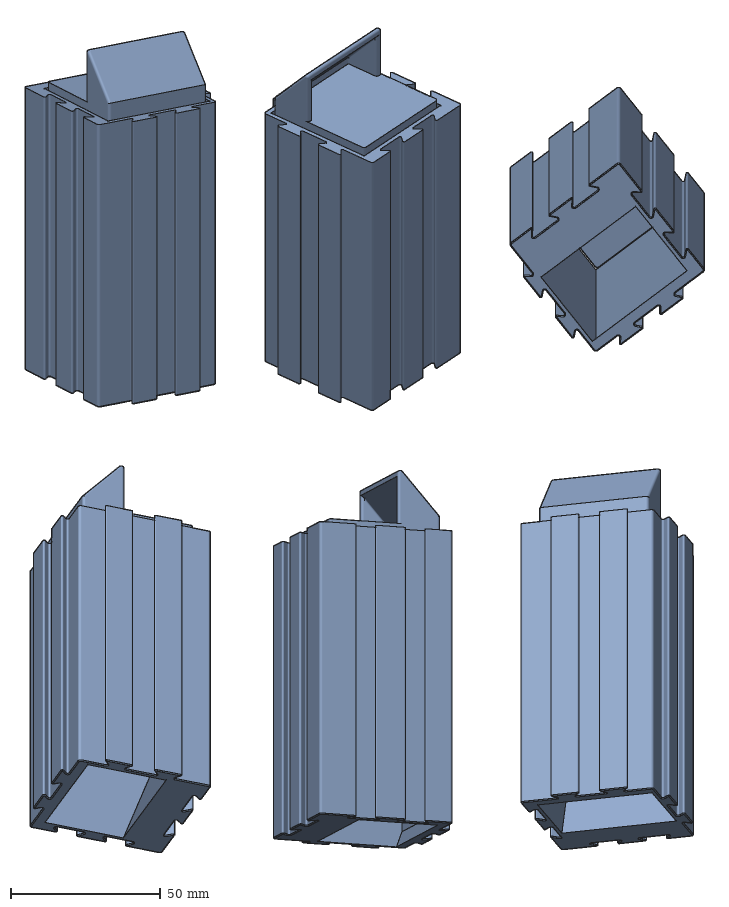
import cadquery as cq
import math


housing_height = 100.0
cavity_x = 40.7
cavity_y = 40.1
thick_wall = 5.0
thin_wall_x = 1.8
thin_wall_y = 1.6
corner_radius = 1.0
bottom_chamfer = 0.4

tab_height = 3.1
tab_tip_width = 10.9
socket_depth = 3.4
socket_inner_width = 11.7
dovetail_radius = 0.5
flank_angle = 41
dovetail_pitch_x = 17.6
dovetail_pitch_y = 17.0

wide_ramp_width = 10.6
narrow_ramp_width = 1.9
ramp_angle = 70

plate_x = 39.5
plate_y = 38.4
plate_bottom = 97.6
plate_top = 102.4
hood_length = 15.0
hood_top = 120.8
hood_back_height = 3.5
hood_wall = 2.4
hood_radius = 1.0
pocket_radius = 0.5

face_left = -cavity_x / 2 - thick_wall
face_right = cavity_x / 2 + thin_wall_x
face_front = -cavity_y / 2 - thick_wall
face_back = cavity_y / 2 + thin_wall_y


def dovetail(depth, wide_width):
    """Upright dovetail bar, its narrow face at x = 0 and its wide face at x = depth."""
    wide = wide_width / 2
    narrow = wide - depth * math.tan(math.radians(flank_angle))
    outline = [(0, -narrow), (depth, -wide), (depth, wide), (0, narrow)]
    return cq.Workplane("XY").polyline(outline).close().extrude(housing_height)


def round_dovetail(body, x, y):
    """Round the four upright edges of the dovetail whose face centre is (x, y)."""
    reach = socket_inner_width / 2 + dovetail_radius
    zone = cq.selectors.BoxSelector(
        (x - reach, y - reach, 0), (x + reach, y + reach, housing_height)
    )
    return body.edges("|Z").edges(zone).fillet(dovetail_radius)


def make_tube():
    length_x = face_right - face_left
    length_y = face_back - face_front
    return (
        cq.Workplane("XY")
        .box(length_x, length_y, housing_height, centered=False)
        .translate((face_left, face_front, 0))
        .edges("|Z")
        .fillet(corner_radius)
    )


def add_dovetails(body):
    """Two tabs on each thin wall, and a socket opposite each tab."""
    tab = dovetail(tab_height, tab_tip_width)
    socket = dovetail(socket_depth, socket_inner_width)
    for side in (-1, 1):
        y = side * dovetail_pitch_y / 2
        body = body.union(tab.translate((face_right, y, 0)))
        body = round_dovetail(body, face_right, y)
        body = body.cut(socket.translate((face_left, y, 0)))
        body = round_dovetail(body, face_left, y)

        x = side * dovetail_pitch_x / 2
        upright_tab = tab.rotate((0, 0, 0), (0, 0, 1), 90)
        body = body.union(upright_tab.translate((x, face_back, 0)))
        body = round_dovetail(body, x, face_back)
        upright_socket = socket.rotate((0, 0, 0), (0, 0, 1), 90)
        body = body.cut(upright_socket.translate((x, face_front, 0)))
        body = round_dovetail(body, x, face_front)
    return body


def ramp_height(width):
    return width * math.tan(math.radians(ramp_angle))


def make_cavity():
    """Cavity outline in XZ: straight walls that run down into the two ramps."""
    half = cavity_x / 2
    outline = [
        (-half, housing_height),
        (-half, ramp_height(wide_ramp_width)),
        (-half + wide_ramp_width, 0),
        (half - narrow_ramp_width, 0),
        (half, ramp_height(narrow_ramp_width)),
        (half, housing_height),
    ]
    return cq.Workplane("XZ").polyline(outline).close().extrude(cavity_y / 2, both=True)


def make_housing():
    body = add_dovetails(make_tube())
    body = body.faces("<Z").chamfer(bottom_chamfer)
    return body.cut(make_cavity())


hood_back = plate_x / 2
hood_front = hood_back - hood_length
slope_foot = plate_top + hood_back_height
crest_run = hood_length - hood_radius
crest_rise = hood_top - hood_radius - slope_foot
chord_angle = math.atan2(crest_rise, crest_run)
tangent_angle = math.asin(hood_radius / math.hypot(crest_run, crest_rise))
slope_angle = chord_angle + tangent_angle
slope = math.tan(slope_angle)


def sloped_block(back, foot, width):
    """Block on the plate from hood_front to back, its top sloping down to foot at the back."""
    outline = [
        (hood_front, plate_top),
        (back, plate_top),
        (back, foot),
        (hood_front, foot + slope * (back - hood_front)),
    ]
    return cq.Workplane("XZ").polyline(outline).close().extrude(width / 2, both=True)


def make_flare(pocket_roof):
    """Bell mouth under the pocket roof that rounds both sides of the opening."""
    half_width = plate_y / 2 - hood_wall
    mouth = half_width + hood_radius
    throat = hood_front + hood_radius
    profile = (
        cq.Workplane("XY", origin=(0, 0, plate_top))
        .moveTo(hood_front, -mouth)
        .radiusArc((throat, -half_width), hood_radius)
        .lineTo(throat, half_width)
        .radiusArc((hood_front, mouth), hood_radius)
        .close()
    )
    return profile.extrude(hood_top - plate_top).intersect(pocket_roof)


def make_hood():
    """Hood with walls of equal thickness, open towards -X."""
    slope_sides = "not (|X or |Y or |Z)"
    hood = sloped_block(hood_back, slope_foot, plate_y)
    hood = hood.edges(f"|Z or >Z or ({slope_sides})").fillet(hood_radius)

    pocket_back = hood_back - hood_wall
    pocket_foot = slope_foot - hood_wall / math.cos(slope_angle) + slope * hood_wall
    pocket = sloped_block(pocket_back, pocket_foot, plate_y - 2 * hood_wall)
    pocket = pocket.edges(f"(|Z and >X) or ({slope_sides})").fillet(pocket_radius)
    flare = make_flare(sloped_block(pocket_back, pocket_foot, plate_y))
    return hood.cut(pocket).cut(flare)


def make_lid():
    plate = (
        cq.Workplane("XY", origin=(0, 0, plate_bottom))
        .rect(plate_x, plate_y)
        .extrude(plate_top - plate_bottom)
        .edges("|Z")
        .fillet(hood_radius)
    )
    return plate.union(make_hood())


housing = make_housing()
lid = make_lid()
result = cq.Compound.makeCompound([housing.val(), lid.val()])